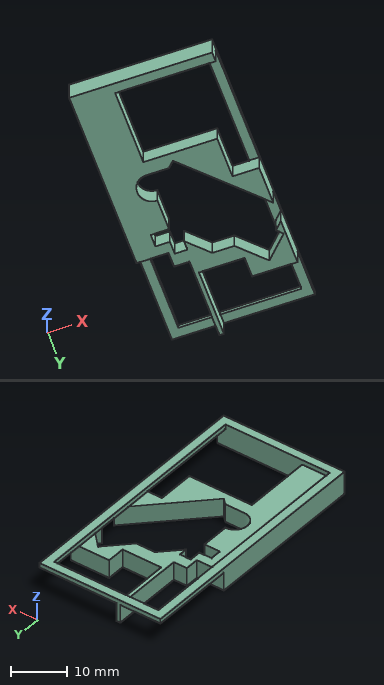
import cadquery as cq

WIDTH = 27.0
LENGTH = 54.0
HEIGHT = 5.0

FRAME_THICKNESS = 1.0
FRAME_BORDER = 1.9
BODY_HEIGHT = HEIGHT - FRAME_THICKNESS

BODY_REAR = 35.35
STEP_X = 6.05
STEP_Y = 38.3
RIB_LEFT = 8.95

RIB_RIGHT = 9.85
REAR_RECESS_FLOOR = 40.9
SHOULDER_X = 18.4
SHOULDER_Y = 44.8

FRONT_RECESS_LEFT = 8.05
FRONT_RECESS_REAR = 16.65
FRONT_STEP_X = 22.0
FRONT_STEP_Y = 24.7

BAY_RADIUS = 2.7
BAY_CENTER_X = 7.65
BAY_FRONT = 19.35
BAY_REAR = BAY_FRONT + 2 * BAY_RADIUS
BAY_MIDDLE = BAY_FRONT + BAY_RADIUS
OPENING_LEFT = 7.8

BAY_END_X = 11.95
FRONT_V_DEPTH = 1.15

SIDE_NOTCH_LEFT = 4.3
SIDE_NOTCH_FRONT = 30.9
SIDE_NOTCH_REAR = 33.3
REAR_NOTCH_LEFT = 7.1
REAR_NOTCH_RIGHT = 9.45
REAR_NOTCH_END = 35.85

TOOTH_TIP_Y = 34.0
LEDGE_Y = 37.95
LEDGE_RIGHT = 17.55
APEX_RISE = 4.85
APEX_FALL = 4.2
JOG = 1.1


def make_frame():
    """Rectangular ring that covers the outer border of the body."""
    ring = cq.Workplane("XY").workplane(offset=BODY_HEIGHT)
    ring = ring.rect(WIDTH, LENGTH).rect(WIDTH - 2 * FRAME_BORDER, LENGTH - 2 * FRAME_BORDER)
    return ring.extrude(FRAME_THICKNESS).translate((WIDTH / 2, LENGTH / 2, 0))


def through_cut(points):
    """Prism through the body, from a closed straight-sided outline."""
    return cq.Workplane("XY").polyline(points).close().extrude(BODY_HEIGHT)


def rear_left_recess():
    return through_cut([
        (0, BODY_REAR),
        (STEP_X, BODY_REAR),
        (STEP_X, STEP_Y),
        (RIB_LEFT, STEP_Y),
        (RIB_LEFT, LENGTH),
        (0, LENGTH),
    ])


def rear_right_recess():
    return through_cut([
        (RIB_RIGHT, LENGTH),
        (RIB_RIGHT, REAR_RECESS_FLOOR),
        (SHOULDER_X, REAR_RECESS_FLOOR),
        (SHOULDER_X, SHOULDER_Y),
        (WIDTH, SHOULDER_Y),
        (WIDTH, LENGTH),
    ])


def front_right_recess():
    return through_cut([
        (FRONT_RECESS_LEFT, FRAME_BORDER),
        (WIDTH, FRAME_BORDER),
        (WIDTH, FRONT_STEP_Y),
        (FRONT_STEP_X, FRONT_STEP_Y),
        (FRONT_STEP_X, FRONT_RECESS_REAR),
        (FRONT_RECESS_LEFT, FRONT_RECESS_REAR),
    ])


def central_opening():
    """Opening between the recesses, running out through the right side."""
    v_x = BAY_END_X + FRONT_V_DEPTH
    v_y = BAY_FRONT - FRONT_V_DEPTH
    apex_x = LEDGE_RIGHT + APEX_RISE
    apex_y = LEDGE_Y + APEX_RISE
    jog_x = apex_x + APEX_FALL
    jog_y = apex_y - APEX_FALL
    exit_y = jog_y - JOG - (WIDTH - (jog_x - JOG))
    outline = (
        cq.Workplane("XY")
        .moveTo(OPENING_LEFT, BAY_REAR)
        .lineTo(BAY_CENTER_X, BAY_REAR)
        .threePointArc((BAY_CENTER_X - BAY_RADIUS, BAY_MIDDLE), (BAY_CENTER_X, BAY_FRONT))
        .lineTo(BAY_END_X, BAY_FRONT)
        .lineTo(v_x, v_y)
        .lineTo(WIDTH, v_y + WIDTH - v_x)
        .lineTo(WIDTH, exit_y)
        .lineTo(jog_x - JOG, jog_y - JOG)
        .lineTo(jog_x, jog_y)
        .lineTo(apex_x, apex_y)
        .lineTo(LEDGE_RIGHT, LEDGE_Y)
        .lineTo(REAR_NOTCH_RIGHT + LEDGE_Y - TOOTH_TIP_Y, LEDGE_Y)
        .lineTo(REAR_NOTCH_RIGHT, TOOTH_TIP_Y)
        .lineTo(REAR_NOTCH_RIGHT, REAR_NOTCH_END)
        .lineTo(REAR_NOTCH_LEFT, REAR_NOTCH_END)
        .lineTo(REAR_NOTCH_LEFT, SIDE_NOTCH_REAR)
        .lineTo(SIDE_NOTCH_LEFT, SIDE_NOTCH_REAR)
        .lineTo(SIDE_NOTCH_LEFT, SIDE_NOTCH_FRONT)
        .lineTo(OPENING_LEFT, SIDE_NOTCH_FRONT)
        .close()
    )
    return outline.extrude(BODY_HEIGHT)


body = cq.Workplane("XY").box(WIDTH, LENGTH, BODY_HEIGHT, centered=False)
for cut in (rear_left_recess(), rear_right_recess(), front_right_recess(), central_opening()):
    body = body.cut(cut)

result = body.union(make_frame())